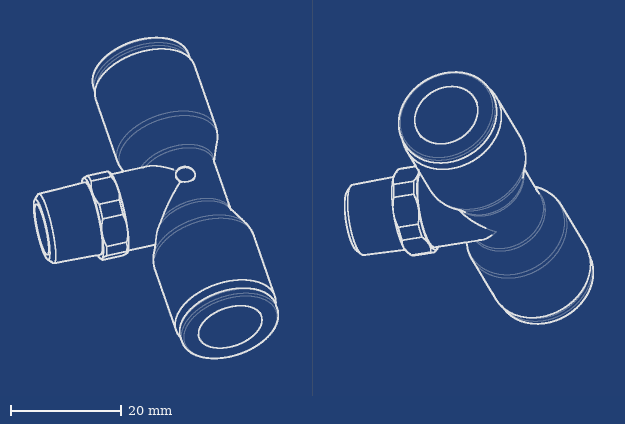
import cadquery as cq
import math

LENGTH = 61.1
TOTAL_DEPTH = 36.5
BODY_DIAMETER = 19.0
WAIST_DIAMETER = 14.25
BODY_RADIUS = BODY_DIAMETER / 2
WAIST_RADIUS = WAIST_DIAMETER / 2
RUN_BORE_RADIUS = 6.0
BODY_HALF_LENGTH = 27.35
SHOULDER_X = 12.2
WAIST_X = 6.35
SHOULDER_BLEND = 2.45
WAIST_BLEND = 1.85

COLLAR_RADIUS = 9.15
COLLAR_THICKNESS = 1.7
COLLAR_EDGE_RADIUS = 0.35
COLLAR_NECK_RADIUS = 6.6

BRANCH_LENGTH = TOTAL_DEPTH - BODY_RADIUS
BRANCH_BORE_RADIUS = 4.7
HEX_START = 12.7
HEX_LENGTH = 4.75
HEX_ACROSS_FLATS = 15.0
HEX_CORNER_RADIUS = 8.0
THREAD_GAUGE_DISTANCE = 22.4
THREAD_GAUGE_RADIUS = 6.6
THREAD_RADIUS_SLOPE = 1 / 32
TIP_CHAMFER_LENGTH = 0.85
TIP_RADIUS = 5.6

BADGE_RADIUS = 1.8
BADGE_DEPTH = 0.3


def along_branch(distance):
    """Sketch plane across the branch; its normal points out along -Y."""
    return cq.Workplane("XZ", origin=(0, -distance, 0))


def thread_radius(distance):
    return THREAD_GAUGE_RADIUS - THREAD_RADIUS_SLOPE * (distance - THREAD_GAUGE_DISTANCE)


def edge_ring_at(x):
    """Selector for the circular edge around the run at the given X."""
    reach = 0.6
    return cq.selectors.BoxSelector(
        (x - reach, -BODY_RADIUS, -BODY_RADIUS),
        (x + reach, BODY_RADIUS, BODY_RADIUS),
    )


def make_socket():
    """Half of the run on the +X side, with a blended cone down to the waist."""
    profile = (
        cq.Workplane("XY")
        .moveTo(0, 0)
        .lineTo(0, WAIST_RADIUS)
        .lineTo(WAIST_X, WAIST_RADIUS)
        .lineTo(SHOULDER_X, BODY_RADIUS)
        .lineTo(BODY_HALF_LENGTH, BODY_RADIUS)
        .lineTo(BODY_HALF_LENGTH, 0)
        .close()
    )
    socket = profile.revolve(360, (0, 0, 0), (1, 0, 0))
    socket = socket.edges(edge_ring_at(WAIST_X)).fillet(WAIST_BLEND)
    return socket.edges(edge_ring_at(SHOULDER_X)).fillet(SHOULDER_BLEND)


def make_collar():
    """Release collar on the +X end, with its narrower neck into the socket."""
    inner_x = LENGTH / 2 - COLLAR_THICKNESS
    rim = (
        cq.Workplane("YZ", origin=(inner_x, 0, 0))
        .circle(COLLAR_RADIUS)
        .extrude(COLLAR_THICKNESS)
        .edges()
        .fillet(COLLAR_EDGE_RADIUS)
    )
    neck = (
        cq.Workplane("YZ", origin=(BODY_HALF_LENGTH, 0, 0))
        .circle(COLLAR_NECK_RADIUS)
        .extrude(inner_x - BODY_HALF_LENGTH)
    )
    return rim.union(neck)


def make_hexagon():
    """Hexagon with flats facing +Z and -Z, turned down and chamfered at its corners."""
    across_corners = HEX_ACROSS_FLATS / math.cos(math.pi / 6)
    hexagon = along_branch(HEX_START).polygon(6, across_corners).extrude(HEX_LENGTH)
    turned_blank = (
        along_branch(HEX_START)
        .circle(HEX_CORNER_RADIUS)
        .extrude(HEX_LENGTH)
        .edges("%CIRCLE")
        .chamfer(HEX_CORNER_RADIUS - HEX_ACROSS_FLATS / 2)
    )
    return hexagon.intersect(turned_blank)


def make_thread():
    """Tapered thread envelope with a chamfered tip."""
    start = HEX_START + HEX_LENGTH
    chamfer_start = BRANCH_LENGTH - TIP_CHAMFER_LENGTH
    return (
        cq.Workplane("XY")
        .moveTo(0, -start)
        .lineTo(thread_radius(start), -start)
        .lineTo(thread_radius(chamfer_start), -chamfer_start)
        .lineTo(TIP_RADIUS, -BRANCH_LENGTH)
        .lineTo(0, -BRANCH_LENGTH)
        .close()
        .revolve(360, (0, 0, 0), (0, 1, 0))
    )


run_half = make_socket().union(make_collar())
branch_stem = along_branch(0).circle(WAIST_RADIUS).extrude(HEX_START)
result = (
    run_half.union(run_half.mirror("YZ"))
    .union(branch_stem)
    .union(make_hexagon())
    .union(make_thread())
)

run_bore = cq.Workplane("YZ", origin=(-LENGTH / 2, 0, 0)).circle(RUN_BORE_RADIUS).extrude(LENGTH)
branch_bore = along_branch(0).circle(BRANCH_BORE_RADIUS).extrude(BRANCH_LENGTH)
result = result.cut(run_bore).cut(branch_bore)

badge = (
    cq.Workplane("XY", origin=(0, 0, WAIST_RADIUS - BADGE_DEPTH))
    .circle(BADGE_RADIUS)
    .extrude(BADGE_DEPTH)
)
result = result.cut(badge)